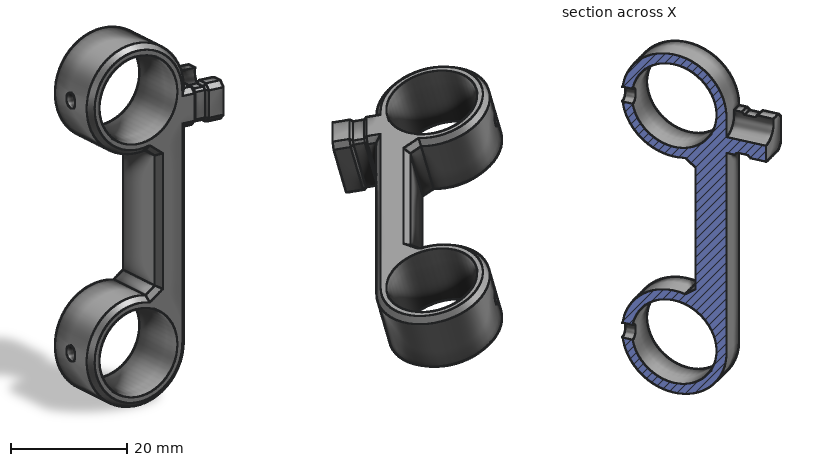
import math

import cadquery as cq

WIDTH = 12.0
EDGE_CHAMFER = 1.0
RING_RADIUS = 10.0
BORE_DIAMETER = 16.0
RING_SPACING = 46.0
RING_Z = RING_SPACING / 2
PIN_HOLE_DIAMETER = 2.8

WEB_THICKNESS = 6.0
WEB_BACK_Y = RING_RADIUS
WEB_FRONT_Y = WEB_BACK_Y - WEB_THICKNESS
GUSSET_SETBACK = 2.0

STEM_HEIGHT = 7.0
STEM_TOP_Z = RING_Z
STEM_MID_Z = STEM_TOP_Z - STEM_HEIGHT / 2
STEM_END_Y = 17.5
STEM_ROOT_Y = WEB_BACK_Y - EDGE_CHAMFER
NECK_DEPTH = 0.5
NECK_FLOOR_LENGTH = 2.0
HEAD_LENGTH = 3.0

CHANNEL_RADIUS = 3.0
CHANNEL_DROP = 0.8


def plate():
    """Outline of both rings and the web, with the edges of both side faces chamfered."""
    corner_angle = math.asin(WEB_FRONT_Y / RING_RADIUS)
    gusset_web_z = RING_Z - RING_RADIUS * math.cos(corner_angle) - GUSSET_SETBACK
    gusset_ring_angle = corner_angle - GUSSET_SETBACK / RING_RADIUS
    gusset_ring_y = RING_RADIUS * math.sin(gusset_ring_angle)
    gusset_ring_z = RING_Z - RING_RADIUS * math.cos(gusset_ring_angle)
    arc_mid_angle = gusset_ring_angle / 2 + math.pi / 4
    arc_mid_y = -RING_RADIUS * math.sin(arc_mid_angle)
    arc_mid_z = RING_Z + RING_RADIUS * math.cos(arc_mid_angle)

    return (
        cq.Workplane("YZ", origin=(-WIDTH / 2, 0, 0))
        .moveTo(WEB_BACK_Y, RING_Z)
        .threePointArc((arc_mid_y, arc_mid_z), (gusset_ring_y, gusset_ring_z))
        .lineTo(WEB_FRONT_Y, gusset_web_z)
        .lineTo(WEB_FRONT_Y, -gusset_web_z)
        .lineTo(gusset_ring_y, -gusset_ring_z)
        .threePointArc((arc_mid_y, -arc_mid_z), (WEB_BACK_Y, -RING_Z))
        .close()
        .extrude(WIDTH)
        .faces("<X or >X")
        .chamfer(EDGE_CHAMFER)
    )


def stem_section(y, inset):
    """Wire of the stem's chamfered cross-section at y, shrunk by inset on every side."""
    half_x = WIDTH / 2 - inset
    half_z = STEM_HEIGHT / 2 - inset
    flat_x = WIDTH / 2 - EDGE_CHAMFER
    flat_z = STEM_HEIGHT / 2 - EDGE_CHAMFER
    corners = [
        (half_x, flat_z),
        (flat_x, half_z),
        (-flat_x, half_z),
        (-half_x, flat_z),
        (-half_x, -flat_z),
        (-flat_x, -half_z),
        (flat_x, -half_z),
        (half_x, -flat_z),
    ]
    points = [cq.Vector(x, y, STEM_MID_Z + z) for x, z in corners]
    return cq.Wire.makePolygon(points, close=True)


def stem():
    """Stem from the plate to the rear end, necked down by a groove with 45 degree walls."""
    head_y = STEM_END_Y - HEAD_LENGTH
    floor_rear_y = head_y - NECK_DEPTH
    floor_front_y = floor_rear_y - NECK_FLOOR_LENGTH
    shoulder_y = floor_front_y - NECK_DEPTH
    sections = [
        stem_section(STEM_ROOT_Y, 0),
        stem_section(shoulder_y, 0),
        stem_section(floor_front_y, NECK_DEPTH),
        stem_section(floor_rear_y, NECK_DEPTH),
        stem_section(head_y, 0),
        stem_section(STEM_END_Y, 0),
    ]
    return cq.Workplane(cq.Solid.makeLoft(sections, True))


def channel():
    """Cutter for the round channel, from the stem's end to the rear face of the web."""
    return (
        cq.Workplane("XZ", origin=(0, STEM_END_Y, STEM_TOP_Z - CHANNEL_DROP))
        .circle(CHANNEL_RADIUS)
        .extrude(STEM_END_Y - WEB_BACK_Y)
    )


def ring_holes(z):
    """Cutter for a ring's bore and the pin hole through the ring's front wall."""
    bore = (
        cq.Workplane("YZ", origin=(-WIDTH / 2, 0, z))
        .circle(BORE_DIAMETER / 2)
        .extrude(WIDTH)
    )
    pin_hole = (
        cq.Workplane("XZ", origin=(0, 0, z))
        .circle(PIN_HOLE_DIAMETER / 2)
        .extrude(RING_RADIUS)
    )
    return bore.union(pin_hole)


result = plate().union(stem()).cut(channel())
for ring_z in (-RING_Z, RING_Z):
    result = result.cut(ring_holes(ring_z))